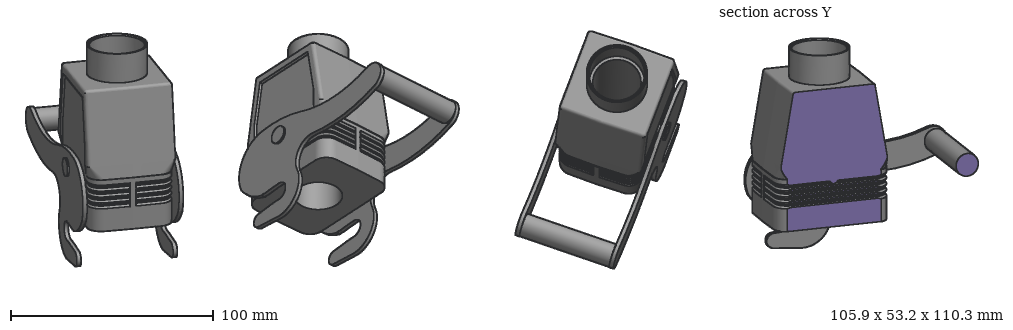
import cadquery as cq
import math


FOOT_HALF_LENGTH = 29.9
FOOT_HALF_WIDTH = 21.5
FOOT_HEIGHT = 26.9
FOOT_CORNER_RADIUS = 7.2
HOOD_HALF_WIDTH = 22.6
HOOD_TOP_HALF_LENGTH = 22.0
HOOD_BASE_HALF_LENGTH = 28.5
NECK_HALF_LENGTH = 29.6
HOOD_BASE_Z = 33.7
HOOD_TOP_Z = 71.6
HOOD_EDGE_RADIUS = 1.7
HOOD_TOP_RADIUS = 1.5
END_BULGE = 0.4

GROOVE_COUNT = 4
GROOVE_PITCH = 3.1
GROOVE_DEPTH = 0.9
GROOVE_FLOOR_HEIGHT = 0.8
GROOVES_BOTTOM_Z = 11.9
GROOVE_WEB_HALF_WIDTH = 1.5
GROOVE_WALL_HEIGHT = (GROOVE_PITCH - GROOVE_FLOOR_HEIGHT) / 2

PANEL_DEPTH = 0.9
PANEL_TOP_HALF_LENGTH = 17.9
PANEL_HALF_LENGTH = 22.2
PANEL_TOP_Z = 66.9
PANEL_SHOULDER_Z = 42.5
PANEL_BOTTOM_Z = 22.1

COLLAR_RADIUS = 15.0
COLLAR_TOP_Z = 86.7
COLLAR_BORE_RADIUS = 13.7
COLLAR_BORE_DEPTH = 13.7
COLLAR_CHAMFER = 0.7
BORE_RADIUS = 11.9

PLATE_INNER_Y = 23.5
PLATE_THICKNESS = 2.2
PLATE_OUTER_Y = PLATE_INNER_Y + PLATE_THICKNESS
PIVOT_Z = 24.6
PIN_RADIUS = 2.4
PIN_ROOT_Y = 16.5
HEAD_RADIUS = 4.6
HEAD_HEIGHT = 0.9
BAR_RADIUS = 6.0

HANDLE_CURVE_CENTER = (-39.2, 99.3)
HANDLE_TOP_RADIUS = 72.6
HANDLE_END_RADIUS = 7.4
HANDLE_BOTTOM_RADIUS = HANDLE_TOP_RADIUS + 2 * HANDLE_END_RADIUS
HANDLE_END_CENTER = (-68.5, 24.5)
CROWN_CENTER = (6.6, -32.7)
CROWN_RADIUS = 66.8
NOSE_CENTER = (10.6, 14.2)
NOSE_RADIUS = 19.4
BELLY_START = (28.4, 6.4)
BELLY_END = (13.0, -4.6)
BELLY_RADIUS = 26.8
HOOK_CENTER = (0.0, -8.8)
HOOK_INNER_RADIUS = 4.7
HOOK_OUTER_RADIUS = 14.8
THROAT_RADIUS = 104.8
THROAT_TOP_END = (10.4, -4.6)
THROAT_BOTTOM_END = (10.4, -14.1)
THROAT_BLEND_RADIUS = 6.6
TIP_CENTER = (15.1, -18.3)
TIP_RADIUS = 3.9
NOTCH_CENTER = (-23.5, 2.0)
NOTCH_RADIUS = 11.1
BAR_X = HANDLE_END_CENTER[0] - HANDLE_END_RADIUS + BAR_RADIUS


def toward(center, target, distance):
    """Point at a distance from center, in the direction of target."""
    angle = math.atan2(target[1] - center[1], target[0] - center[0])
    return (center[0] + distance * math.cos(angle), center[1] + distance * math.sin(angle))


def section(half_length, half_width, corner_radius, z):
    """Rounded rectangle whose two ends are slightly peaked at Y = 0."""
    shoulder = half_length - END_BULGE
    corners = [(shoulder, half_width), (-shoulder, half_width),
               (-shoulder, -half_width), (shoulder, -half_width)]
    points = corners[:2] + [(-half_length, 0)] + corners[2:] + [(half_length, 0)]
    wire = cq.Wire.makePolygon([cq.Vector(x, y, z) for x, y in points], close=True)
    rounded = [v for v in wire.Vertices() if abs(v.Y) > half_width / 2]
    return wire.fillet2D(corner_radius, rounded)


def loft(lower, upper):
    return cq.Workplane(cq.Solid.makeLoft([lower, upper], True))


def foot_section(inset, z):
    return section(FOOT_HALF_LENGTH - inset, FOOT_HALF_WIDTH - inset, FOOT_CORNER_RADIUS - inset, z)


def make_hood():
    hood_base = section(HOOD_BASE_HALF_LENGTH, HOOD_HALF_WIDTH, HOOD_EDGE_RADIUS, HOOD_BASE_Z)
    hood_top = section(HOOD_TOP_HALF_LENGTH, HOOD_HALF_WIDTH, HOOD_EDGE_RADIUS, HOOD_TOP_Z)
    neck_base = section(NECK_HALF_LENGTH, FOOT_HALF_WIDTH, FOOT_CORNER_RADIUS, FOOT_HEIGHT)
    foot = loft(foot_section(0, 0), foot_section(0, FOOT_HEIGHT))
    neck = loft(neck_base, hood_base)
    shell = loft(hood_base, hood_top).faces(">Z").edges().fillet(HOOD_TOP_RADIUS)
    return foot.union(neck).union(shell)


def make_groove(bottom_z):
    """Ring around the foot with sloped walls, interrupted by a web on each end."""
    floor_z = bottom_z + GROOVE_WALL_HEIGHT
    floor_top_z = floor_z + GROOVE_FLOOR_HEIGHT
    top_z = bottom_z + GROOVE_PITCH
    waist = (
        loft(foot_section(0, bottom_z), foot_section(GROOVE_DEPTH, floor_z))
        .union(loft(foot_section(GROOVE_DEPTH, floor_z), foot_section(GROOVE_DEPTH, floor_top_z)))
        .union(loft(foot_section(GROOVE_DEPTH, floor_top_z), foot_section(0, top_z)))
    )
    web = cq.Workplane().box(
        2 * FOOT_HALF_LENGTH, 2 * GROOVE_WEB_HALF_WIDTH, GROOVE_PITCH, centered=(True, True, False)
    ).translate((0, 0, bottom_z))
    slab = loft(foot_section(0, bottom_z), foot_section(0, top_z))
    return slab.cut(waist).cut(web)


def make_panel():
    """Sunken panel tool with 45 degree rims, for the -Y side."""
    return (
        cq.Workplane("XZ", origin=(0, -HOOD_HALF_WIDTH, 0))
        .polyline([
            (-PANEL_HALF_LENGTH, PANEL_BOTTOM_Z),
            (PANEL_HALF_LENGTH, PANEL_BOTTOM_Z),
            (PANEL_HALF_LENGTH, PANEL_SHOULDER_Z),
            (PANEL_TOP_HALF_LENGTH, PANEL_TOP_Z),
            (-PANEL_TOP_HALF_LENGTH, PANEL_TOP_Z),
            (-PANEL_HALF_LENGTH, PANEL_SHOULDER_Z),
        ])
        .close()
        .extrude(-PANEL_DEPTH, taper=45)
    )


def cylinder(radius, bottom_z, top_z):
    return cq.Workplane(origin=(0, 0, bottom_z)).circle(radius).extrude(top_z - bottom_z)


def cross_cylinder(x, radius, start_y, end_y):
    """Cylinder along Y at the height of the pivot axis."""
    return cq.Workplane("XZ", origin=(x, start_y, PIVOT_Z)).circle(radius).extrude(start_y - end_y)


def make_lever_plate():
    """Plate on the -Y side."""
    handle_end_top = toward(HANDLE_END_CENTER, HANDLE_CURVE_CENTER, HANDLE_END_RADIUS)
    handle_end_tip = (HANDLE_END_CENTER[0] - HANDLE_END_RADIUS, HANDLE_END_CENTER[1])
    handle_end_bottom = toward(HANDLE_END_CENTER, HANDLE_CURVE_CENTER, -HANDLE_END_RADIUS)
    crown_start = toward(HANDLE_CURVE_CENTER, CROWN_CENTER, HANDLE_TOP_RADIUS)
    nose_start = toward(NOSE_CENTER, CROWN_CENTER, -NOSE_RADIUS)
    nose_tip = (NOSE_CENTER[0] + NOSE_RADIUS, NOSE_CENTER[1])
    hook_x, hook_z = HOOK_CENTER
    tip_x, tip_z = TIP_CENTER
    notch_start = toward(HOOK_CENTER, NOTCH_CENTER, HOOK_OUTER_RADIUS)
    notch_end = toward(HANDLE_CURVE_CENTER, NOTCH_CENTER, HANDLE_BOTTOM_RADIUS)
    return (
        cq.Workplane("XZ", origin=(0, -PLATE_INNER_Y, 0))
        .moveTo(*handle_end_top)
        .radiusArc(crown_start, -HANDLE_TOP_RADIUS)
        .radiusArc(nose_start, CROWN_RADIUS)
        .threePointArc(nose_tip, BELLY_START)
        .radiusArc(BELLY_END, BELLY_RADIUS)
        .radiusArc(THROAT_TOP_END, -THROAT_BLEND_RADIUS)
        .radiusArc((hook_x, hook_z + HOOK_INNER_RADIUS), -THROAT_RADIUS)
        .threePointArc((hook_x - HOOK_INNER_RADIUS, hook_z), (hook_x, hook_z - HOOK_INNER_RADIUS))
        .radiusArc(THROAT_BOTTOM_END, THROAT_RADIUS)
        .lineTo(tip_x, tip_z + TIP_RADIUS)
        .threePointArc((tip_x + TIP_RADIUS, tip_z), (tip_x, tip_z - TIP_RADIUS))
        .lineTo(hook_x, hook_z - HOOK_OUTER_RADIUS)
        .threePointArc((hook_x - HOOK_OUTER_RADIUS, hook_z), notch_start)
        .radiusArc(notch_end, -NOTCH_RADIUS)
        .radiusArc(handle_end_bottom, HANDLE_BOTTOM_RADIUS)
        .threePointArc(handle_end_tip, handle_end_top)
        .close()
        .extrude(PLATE_THICKNESS)
    )


hood = make_hood()
for index in range(GROOVE_COUNT):
    hood = hood.cut(make_groove(GROOVES_BOTTOM_Z + index * GROOVE_PITCH))
panel = make_panel()
hood = hood.cut(panel).cut(panel.mirror("XZ"))

ledge_z = COLLAR_TOP_Z - COLLAR_BORE_DEPTH
hood = hood.union(cylinder(COLLAR_RADIUS, HOOD_TOP_Z - HOOD_EDGE_RADIUS, COLLAR_TOP_Z))
hood = hood.cut(cylinder(COLLAR_BORE_RADIUS, ledge_z, COLLAR_TOP_Z))
hood = hood.faces(">Z").edges("%CIRCLE").edges(cq.selectors.RadiusNthSelector(0)).chamfer(COLLAR_CHAMFER)
hood = hood.cut(cylinder(BORE_RADIUS, 0, COLLAR_TOP_Z))

pin = cross_cylinder(0, PIN_RADIUS, -PIN_ROOT_Y, -PLATE_OUTER_Y)
head = cross_cylinder(0, HEAD_RADIUS, -PLATE_OUTER_Y, -PLATE_OUTER_Y - HEAD_HEIGHT)
lever_side = make_lever_plate().union(pin).union(head)
bar = cross_cylinder(BAR_X, BAR_RADIUS, PLATE_INNER_Y, -PLATE_INNER_Y)
lever = lever_side.union(lever_side.mirror("XZ")).union(bar)

result = hood.union(lever)